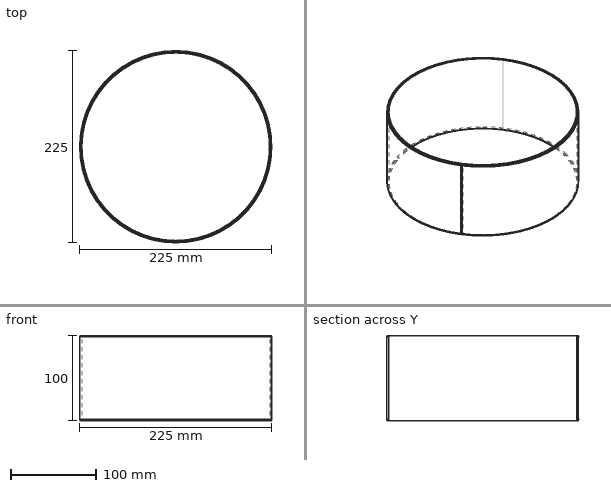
import cadquery as cq
outer_diameter = 225.0
height = 100.0
wall = 2.5

outer_chamfer_height = 1.5
outer_chamfer_width = 0.6

inner_chamfer = 0.34

slit_width = 1.5

outer_radius = outer_diameter / 2
inner_radius = outer_radius - wall

wall_profile = [
    (inner_radius + inner_chamfer, 0),
    (outer_radius - outer_chamfer_width, 0),
    (outer_radius, outer_chamfer_height),
    (outer_radius, height - outer_chamfer_height),
    (outer_radius - outer_chamfer_width, height),
    (inner_radius + inner_chamfer, height),
    (inner_radius, height - inner_chamfer),
    (inner_radius, inner_chamfer),
]
ring = (
    cq.Workplane("XZ")
    .polyline(wall_profile)
    .close()
    .revolve(360, (0, 0, 0), (0, 1, 0))
)

slit_length = 4 * wall
slit = (
    cq.Workplane("XY")
    .center(-outer_radius, slit_width / 2)
    .rect(slit_length, slit_width)
    .extrude(height)
)

result = ring.cut(slit)